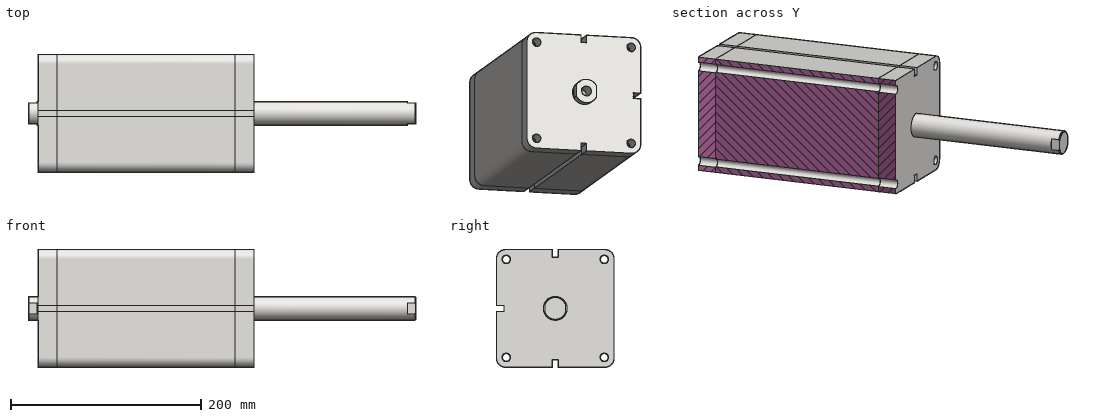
import cadquery as cq
import math


housing_width = 124.0
corner_radius = 10.0
slot_width = 6.0
slot_depth = 8.0
screw_spacing = 103.0
cap_hole_diameter = 9.0
barrel_hole_diameter = 8.0

housing_length = 227.0
cap_length = 20.0
barrel_length = housing_length - 2 * cap_length

rod_diameter = 25.0
rear_stickout = 10.0
front_stickout = 170.0
rod_length = rear_stickout + housing_length + front_stickout
front_chamfer = 1.0
flat_length = 9.0
width_across_flats = 22.0
bore_diameter = 10.5
bore_depth = 20.0
drill_point_angle = 118.0


def housing_section(start_x, length, screw_hole_diameter):
    """Stretch of the square housing with its rod hole, screw holes and three sensor slots."""
    half_width = housing_width / 2
    block = (
        cq.Workplane("YZ", origin=(start_x, 0, 0))
        .rect(housing_width, housing_width)
        .extrude(length)
        .edges("|X")
        .fillet(corner_radius)
    )
    holes = (
        cq.Workplane("YZ", origin=(start_x, 0, 0))
        .rect(screw_spacing, screw_spacing, forConstruction=True)
        .vertices()
        .circle(screw_hole_diameter / 2)
        .extrude(length)
    )
    rod_hole = cq.Workplane("YZ", origin=(start_x, 0, 0)).circle(rod_diameter / 2).extrude(length)
    block = block.cut(holes).cut(rod_hole)

    top_slot = (
        cq.Workplane("YZ", origin=(start_x, 0, 0))
        .center(0, half_width - slot_depth / 2)
        .rect(slot_width, slot_depth)
        .extrude(length)
    )
    for turn in (0, 90, 180):
        block = block.cut(top_slot.rotate((0, 0, 0), (1, 0, 0), turn))
    return block


def wrench_flats(start_x):
    """Material outside the two flats, which face +Y and -Y."""
    cut_depth = (rod_diameter - width_across_flats) / 2
    flat_offset = (width_across_flats + cut_depth) / 2
    return (
        cq.Workplane("YZ", origin=(start_x, 0, 0))
        .pushPoints([(-flat_offset, 0), (flat_offset, 0)])
        .rect(cut_depth, rod_diameter)
        .extrude(flat_length)
    )


def rear_bore(start_x):
    """Blind drilled hole with a conical bottom, revolved about the rod axis."""
    bore_radius = bore_diameter / 2
    point_length = bore_radius / math.tan(math.radians(drill_point_angle / 2))
    return (
        cq.Workplane("XY", origin=(start_x, 0, 0))
        .moveTo(0, 0)
        .lineTo(0, bore_radius)
        .lineTo(bore_depth, bore_radius)
        .lineTo(bore_depth + point_length, 0)
        .close()
        .revolve(360, (0, 0, 0), (1, 0, 0))
    )


def piston_rod():
    """Through rod with flats at both ends, a chamfered front end and a bored rear end."""
    rear_x = -rear_stickout
    front_x = rear_x + rod_length
    rod = (
        cq.Workplane("YZ", origin=(rear_x, 0, 0))
        .circle(rod_diameter / 2)
        .extrude(rod_length)
        .faces(">X")
        .chamfer(front_chamfer)
    )
    rod = rod.cut(wrench_flats(rear_x))
    rod = rod.cut(wrench_flats(front_x - flat_length))
    return rod.cut(rear_bore(rear_x))


rear_cap = housing_section(0, cap_length, cap_hole_diameter)
barrel = housing_section(cap_length, barrel_length, barrel_hole_diameter)
front_cap = housing_section(cap_length + barrel_length, cap_length, cap_hole_diameter)
rod = piston_rod()

result = cq.Compound.makeCompound([rear_cap.val(), barrel.val(), front_cap.val(), rod.val()])